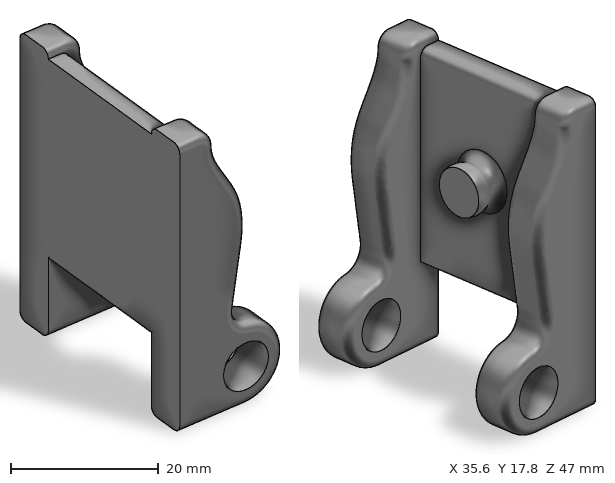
import cadquery as cq
import math

width = 35.55
height = 46.95
arm_width = 6.35
edge_radius = 1.3

plate_thickness = 3.55
plate_bottom = 13.25
plate_top = height - edge_radius
plate_edge_radius = 1.45

eye_radius = 6.45
eye_depth = 11.3
hole_diameter = 7.65

neck_radius = 3.05
neck_start_angle = math.radians(82.5)
neck_end_angle = math.radians(170.5)

top_corner_radius = 2.45
top_corner_depth = plate_thickness + top_corner_radius
crest = (11.3, 28.65)
lower_flank = (10.75, 24.15)
upper_flank = (10.47, 34.48)
shoulder = (6.9, 41.1)

button_height = 4.55
button_flare_radius = 4.65
button_waist_radius = 3.5
button_bulge_radius = 3.85
button_top_radius = 3.65
button_waist_height = 2.05
flare_middle = (3.7, 1.0)


def polar(center, radius, angle):
    """Point in the YZ plane at the given radius and angle from a center."""
    return (center[0] + radius * math.cos(angle), center[1] + radius * math.sin(angle))


def make_arm(x_start):
    """Contoured arm with rounded front edges and a pin hole through its eye."""
    eye_center = (eye_depth, eye_radius)
    neck_center = polar(eye_center, eye_radius + neck_radius, neck_start_angle)
    neck_start = polar(eye_center, eye_radius, neck_start_angle)
    neck_middle = polar(
        neck_center, neck_radius, (neck_start_angle + math.pi + neck_end_angle) / 2
    )
    neck_end = polar(neck_center, neck_radius, neck_end_angle)
    neck_tangent = (math.sin(neck_end_angle), -math.cos(neck_end_angle))
    corner_center = (plate_thickness, height - top_corner_radius)

    arm = (
        cq.Workplane("YZ", origin=(x_start, 0, 0))
        .moveTo(0, 0)
        .lineTo(eye_depth, 0)
        .threePointArc((eye_depth + eye_radius, eye_radius), neck_start)
        .threePointArc(neck_middle, neck_end)
        .spline(
            [lower_flank, crest, upper_flank, shoulder, (top_corner_depth, corner_center[1])],
            tangents=[neck_tangent, (0, 1)],
            includeCurrent=True,
        )
        .threePointArc(
            polar(corner_center, top_corner_radius, math.pi / 4), (plate_thickness, height)
        )
        .lineTo(0, height)
        .close()
        .extrude(arm_width)
    )
    arm = arm.faces("<X or >X").edges("not <Y").fillet(edge_radius)

    hole = (
        cq.Workplane("YZ", origin=(x_start, 0, 0))
        .center(*eye_center)
        .circle(hole_diameter / 2)
        .extrude(arm_width)
    )
    return arm.cut(hole)


def make_plate():
    """Flat plate joining the inner faces of the arms, rounded along its top front edge."""
    return (
        cq.Workplane("XY", origin=(0, 0, plate_bottom))
        .box(
            width - 2 * arm_width,
            plate_thickness,
            plate_top - plate_bottom,
            centered=(True, False, False),
        )
        .edges(">Y and >Z")
        .fillet(plate_edge_radius)
    )


def make_button():
    """Round button with a flared foot, a waist and a bulging head."""
    bulge_height = (button_waist_height + button_height) / 2
    return (
        cq.Workplane("XY", origin=(0, plate_thickness, (plate_bottom + plate_top) / 2))
        .moveTo(0, 0)
        .lineTo(button_flare_radius, 0)
        .threePointArc(flare_middle, (button_waist_radius, button_waist_height))
        .threePointArc((button_bulge_radius, bulge_height), (button_top_radius, button_height))
        .lineTo(0, button_height)
        .close()
        .revolve(360, (0, 0, 0), (0, 1, 0))
    )


result = make_plate().union(make_button())
for arm_start in (-width / 2, width / 2 - arm_width):
    result = result.union(make_arm(arm_start))